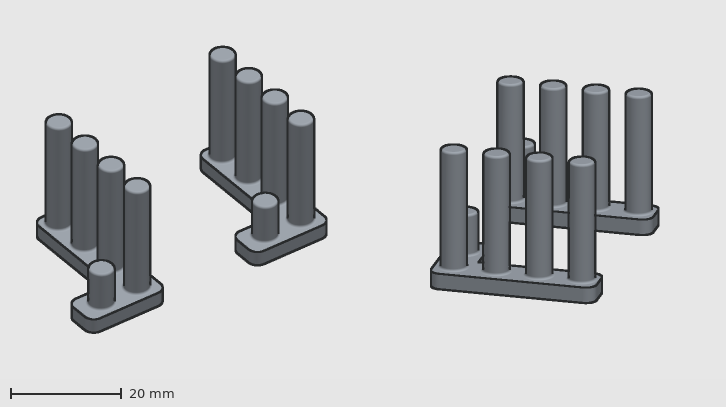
import cadquery as cq

plate_length = 31.0
plate_depth = 17.0
arm_width = 7.5
leg_width = 7.4
plate_thickness = 3.0
corner_radius = 2.0

pin_diameter = 4.8
pin_pitch = 8.0
pins_in_row = 4
tall_pin_top = 26.0
short_pin_top = 11.0
pin_edge_radius = 0.5
pin_inset_x = 3.7
pin_inset_y = 4.05

overall_depth = 53.0
stand_shift_x = 1.0
stand_shift_y = overall_depth - plate_depth


def make_plate():
    """L-shaped plate with every outer corner rounded and a sharp inner corner."""
    arm_front = plate_depth - arm_width
    leg_left = plate_length - leg_width
    arm = (
        cq.Workplane("XY")
        .box(plate_length, arm_width, plate_thickness, centered=False)
        .translate((0, arm_front, 0))
    )
    leg = (
        cq.Workplane("XY")
        .box(leg_width, plate_depth, plate_thickness, centered=False)
        .translate((leg_left, 0, 0))
    )
    plate = arm.union(leg).clean()
    inner_corner = cq.selectors.NearestToPointSelector((leg_left, arm_front, plate_thickness / 2))
    outer_corners = cq.selectors.SubtractSelector(cq.StringSyntaxSelector("|Z"), inner_corner)
    return plate.edges(outer_corners).fillet(corner_radius)


def make_pin(x, y, top):
    """Revolved pin with a flared root fillet and a rounded top edge."""
    radius = pin_diameter / 2
    edge = pin_edge_radius
    arc_offset = edge * (1 - 0.5**0.5)
    profile = (
        cq.Workplane("XZ")
        .lineTo(0, top)
        .lineTo(radius - edge, top)
        .threePointArc((radius - arc_offset, top - arc_offset), (radius, top - edge))
        .lineTo(radius, plate_thickness + edge)
        .threePointArc(
            (radius + arc_offset, plate_thickness + arc_offset),
            (radius + edge, plate_thickness),
        )
        .lineTo(radius + edge, 0)
        .close()
    )
    return profile.revolve(360, (0, 0), (0, 1)).translate((x, y, 0))


def make_stand(x, y):
    """One-piece stand: the plate, a row of tall pins and one short pin on the leg."""
    corner_x = plate_length - pin_inset_x
    row_y = plate_depth - pin_inset_y
    stand = make_plate()
    for index in range(pins_in_row):
        stand = stand.union(make_pin(corner_x - index * pin_pitch, row_y, tall_pin_top))
    stand = stand.union(make_pin(corner_x, row_y - pin_pitch, short_pin_top))
    return stand.translate((x, y, 0))


stands = []
for index in range(2):
    stand = make_stand(index * stand_shift_x, index * stand_shift_y)
    stands.append(stand.val())

result = cq.Compound.makeCompound(stands)